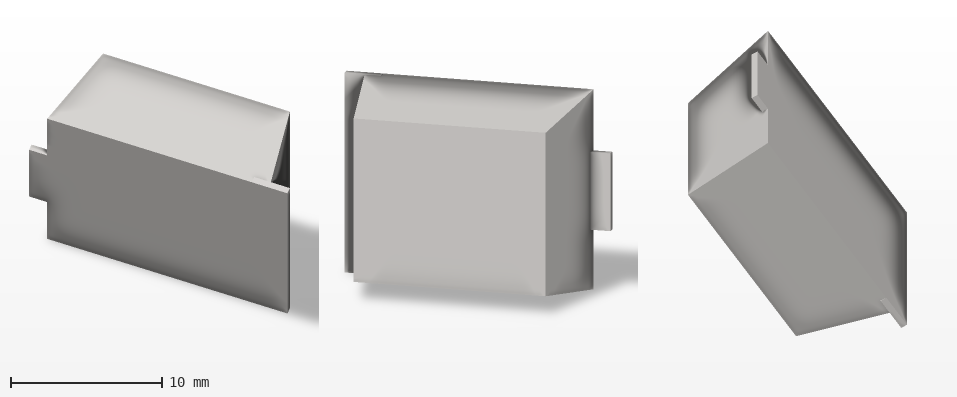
import cadquery as cq
import math

length = 18.31
depth = 7.1
height = 13.71

end_overhang = 1.28
draft_angle = 10.0
housing_length = length - 2 * end_overhang
taper_inset = depth * math.tan(math.radians(draft_angle))

plate_thickness = 0.45
small_length = 3.53
small_height = 5.33
large_start = 4.82
large_inner_height = 10.84
end_strip_length = 2.53


def plate(x_start, x_end, plate_height):
    """Plate standing on the mounting plane Y = 0, centred on Z = 0."""
    return cq.Workplane("XY").box(
        x_end - x_start, plate_thickness, plate_height, centered=(False, False, True)
    ).translate((x_start, 0, 0))


def make_small_terminal():
    return plate(0, small_length, small_height)


def make_large_terminal():
    strip_start = length - end_strip_length
    inner_pad = plate(large_start, strip_start, large_inner_height)
    end_strip = plate(strip_start, length, height)
    return inner_pad.union(end_strip)


def make_housing(terminals):
    """Tapered block with a matching recess for each terminal."""
    front_face = cq.Workplane("XZ", origin=(length / 2, 0, 0))
    body = (
        front_face
        .rect(housing_length, height)
        .workplane(offset=-depth)
        .rect(housing_length - 2 * taper_inset, height - 2 * taper_inset)
        .loft(ruled=True)
    )
    for terminal in terminals:
        body = body.cut(terminal)
    return body


small_terminal = make_small_terminal()
large_terminal = make_large_terminal()
housing = make_housing([small_terminal, large_terminal])

result = cq.Compound.makeCompound([
    housing.solids().val(),
    small_terminal.solids().val(),
    large_terminal.solids().val(),
])